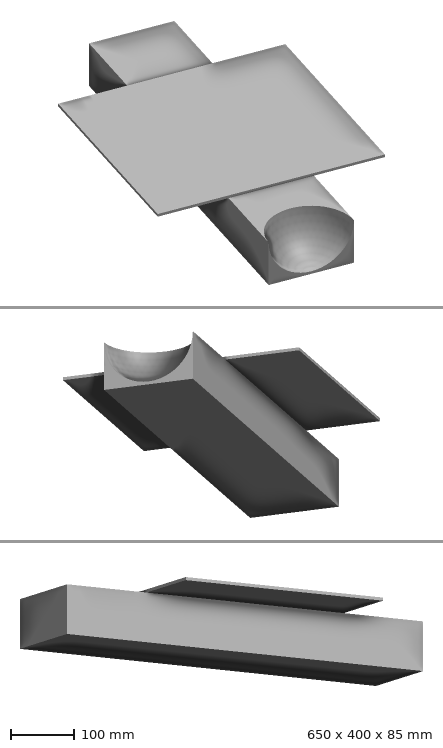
import cadquery as cq

total_length = 650.0
bar_width = 150.0
bar_height = 80.0
center_length = 150.0
plate_length = 360.0
plate_width = 400.0
plate_thickness = 5.0

end_length = (total_length - center_length) / 2
end_offset = (center_length + end_length) / 2
scoop_radius = bar_width / 2


def make_block(length, x_center):
    """One segment of the bar, standing on Z = 0."""
    return (
        cq.Workplane("XY")
        .center(x_center, 0)
        .box(length, bar_width, bar_height, centered=(True, True, False))
    )


def make_plain_end():
    """Plain block at the -X end."""
    return make_block(end_length, -end_offset)


def make_scooped_end():
    """Block at the +X end, with a spherical scoop at its outer top edge."""
    scoop = cq.Workplane("XY").sphere(scoop_radius).translate((total_length / 2, 0, bar_height))
    return make_block(end_length, end_offset).cut(scoop)


def make_table():
    """Center block carrying the wide, thin top plate."""
    plate = (
        cq.Workplane("XY")
        .workplane(offset=bar_height)
        .box(plate_length, plate_width, plate_thickness, centered=(True, True, False))
    )
    return make_block(center_length, 0).union(plate)


plain_end = make_plain_end()
scooped_end = make_scooped_end()
table = make_table()

result = cq.Compound.makeCompound([plain_end.val(), scooped_end.val(), *table.solids().vals()])